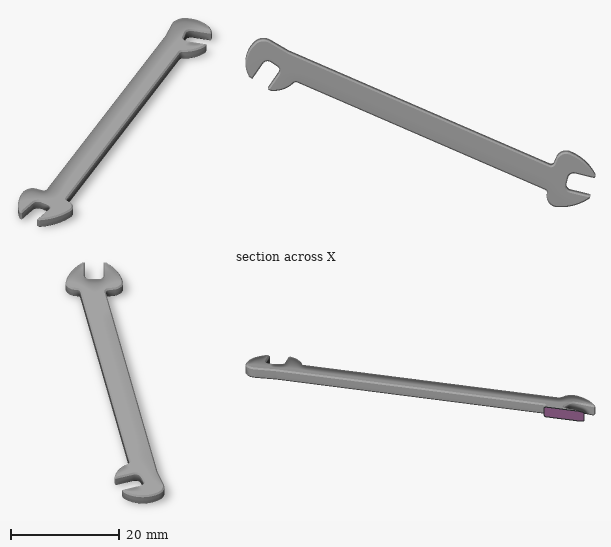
import cadquery as cq
import math

length = 69.1
thickness = 2.0
handle_width = 4.6
edge_chamfer = 0.3
junction_radius = 0.6

tilt = 10.0
upper_opening_angle = tilt
lower_opening_angle = -90 - tilt
jaw_gap = 3.45
slot_corner = 1.05

upper_radius = 5.25
upper_x = 0.75
upper_y = length - upper_radius
upper_slot_x = 0.9
upper_slot_y = 63.75
upper_jaw_depth = 4.55
flat_lean = 7.0
flat_foot_y = 62.25
upper_corner = 2.4

lower_x = -1.25
lower_y = 3.25
lower_slot_bottom = 1.9
jaw_tip = (2.2, -2.9)
cheek_middle = (4.1, -0.7)
cheek_end = (5.3, 2.75)
corner_middle = (4.9, 4.2)
shoulder = (3.9, 4.9)
crown_y = 5.5

half_handle = handle_width / 2
middle_z = thickness / 2
lower_slot_x = lower_x + lower_slot_bottom * math.sin(math.radians(tilt))
lower_slot_y = lower_y + lower_slot_bottom * math.cos(math.radians(tilt))
head_span = 2 * upper_radius


def mirrored(point):
    """Same point on the other side of the slot axis."""
    return (-point[0], point[1])


def round_corner(solid, x, y, radius):
    """Round the upright edge closest to the given place."""
    nearest = cq.selectors.NearestToPointSelector((x, y, middle_z))
    return solid.edges("|Z").edges(nearest).fillet(radius)


def place_along(solid, x, y, angle):
    """Turn a solid about the origin by the given angle, then move the origin to (x, y)."""
    return solid.rotate((0, 0, 0), (0, 0, 1), angle).translate((x, y, 0))


def make_slot(x, y, angle):
    """Nut slot with rounded inner corners, starting at the middle of its bottom."""
    slot = cq.Workplane("XY").rect(head_span, jaw_gap).extrude(thickness)
    slot = slot.translate((head_span / 2, 0, 0)).edges("|Z and <X").fillet(slot_corner)
    return place_along(slot, x, y, angle)


def make_handle():
    bottom = lower_slot_y
    top = upper_y
    bar = cq.Workplane("XY").center(0, (bottom + top) / 2)
    return bar.rect(handle_width, top - bottom).extrude(thickness)


def make_upper_head():
    disc = cq.Workplane("XY").center(upper_x, upper_y).circle(upper_radius).extrude(thickness)

    bottom = upper_y - upper_radius
    right = upper_x + upper_radius
    flat_top_x = -half_handle - (length - flat_foot_y) * math.tan(math.radians(flat_lean))
    kept = (
        cq.Workplane("XY")
        .moveTo(-half_handle, bottom)
        .lineTo(right, bottom)
        .lineTo(right, length)
        .lineTo(flat_top_x, length)
        .lineTo(-half_handle, flat_foot_y)
        .close()
        .extrude(thickness)
    )
    head = round_corner(disc.intersect(kept), flat_top_x, length, upper_corner)

    beyond_tips = cq.Workplane("XY").rect(head_span, head_span).extrude(thickness)
    beyond_tips = beyond_tips.translate((upper_jaw_depth + head_span / 2, 0, 0))
    return head.cut(place_along(beyond_tips, upper_slot_x, upper_slot_y, upper_opening_angle))


def make_lower_head():
    head = (
        cq.Workplane("XY")
        .moveTo(*mirrored(jaw_tip))
        .lineTo(*jaw_tip)
        .threePointArc(cheek_middle, cheek_end)
        .threePointArc(corner_middle, shoulder)
        .lineTo(0, crown_y)
        .lineTo(*mirrored(shoulder))
        .threePointArc(mirrored(corner_middle), mirrored(cheek_end))
        .threePointArc(mirrored(cheek_middle), mirrored(jaw_tip))
        .close()
        .extrude(thickness)
    )
    return place_along(head, lower_x, lower_y, -tilt)


body = make_handle().union(make_upper_head()).union(make_lower_head())
body = body.cut(make_slot(upper_slot_x, upper_slot_y, upper_opening_angle))
body = body.cut(make_slot(lower_slot_x, lower_slot_y, lower_opening_angle))

lower_head_top = lower_y + crown_y
upper_head_bottom = upper_y - upper_radius
for corner_x, corner_y in [
    (half_handle, upper_head_bottom),
    (half_handle, lower_head_top),
    (-half_handle, lower_head_top),
]:
    body = round_corner(body, corner_x, corner_y, junction_radius)

result = body.faces("|Z").edges().chamfer(edge_chamfer)